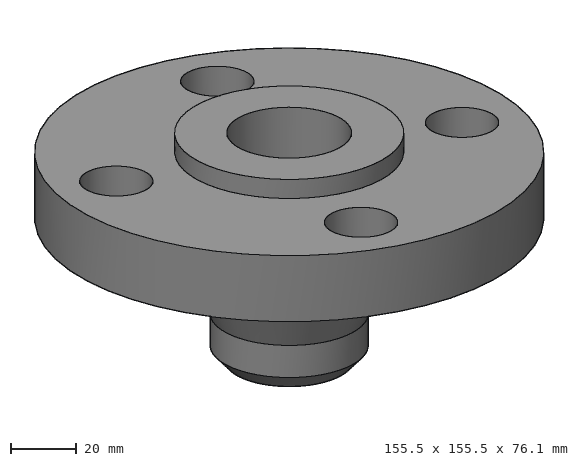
import cadquery as cq

flange_diameter = 155.5
flange_thickness = 22.0
face_diameter = 70.0
face_height = 6.4
hub_base_diameter = 70.0
hub_taper_height = 31.9
neck_diameter = 48.3
neck_height = 10.7
bevel_height = 5.1
bevel_width = 4.7
bore_diameter = 38.1

bolt_count = 4
bolt_hole_diameter = 22.4
bolt_circle_diameter = 114.3
first_bolt_angle = 180 / bolt_count

neck_start = bevel_height
taper_start = neck_start + neck_height
flange_bottom = taper_start + hub_taper_height
flange_top = flange_bottom + flange_thickness
face_top = flange_top + face_height


def revolved_body():
    """Bored flange with raised face, tapered hub and bevelled weld end."""
    bore_radius = bore_diameter / 2
    neck_radius = neck_diameter / 2
    flange_radius = flange_diameter / 2
    face_radius = face_diameter / 2
    profile = [
        (bore_radius, 0),
        (neck_radius - bevel_width, 0),
        (neck_radius, neck_start),
        (neck_radius, taper_start),
        (hub_base_diameter / 2, flange_bottom),
        (flange_radius, flange_bottom),
        (flange_radius, flange_top),
        (face_radius, flange_top),
        (face_radius, face_top),
        (bore_radius, face_top),
    ]
    return cq.Workplane("XZ").polyline(profile).close().revolve(360, (0, 0, 0), (0, 1, 0))


def bolt_holes():
    """Cylinders that cut the bolt holes through the flange."""
    return (
        cq.Workplane("XY")
        .workplane(offset=flange_bottom)
        .polarArray(bolt_circle_diameter / 2, first_bolt_angle, 360, bolt_count)
        .circle(bolt_hole_diameter / 2)
        .extrude(flange_thickness)
    )


result = revolved_body().cut(bolt_holes())